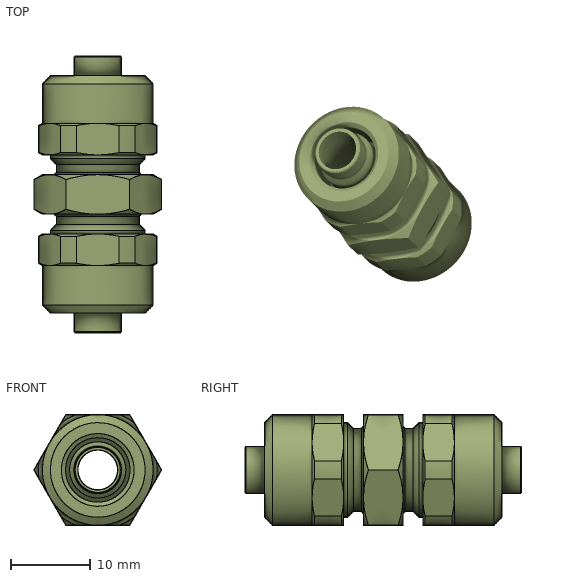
import cadquery as cq
import math

length = 35.0
across_flats = 14.0
bore_diameter = 5.0

hex_width = 5.0
neck_diameter = 10.5
collar_diameter = 12.0
neck_flare = 0.28
collar_cone_start = 3.78
collar_cone_end = collar_cone_start + (collar_diameter - neck_diameter) / 2

nut_inner_end = 5.0
nut_hex_end = 9.0
nut_outer_end = 15.0
nut_corner_diameter = 15.0
nut_chamfer = 1.0
hex_bevel_angle = 30.0
mouth_diameter = 8.15
mouth_chamfer = 0.52

spigot_diameter = 6.0
tip_chamfer = 0.15
barb_diameter = 7.1
barb_cone_start = 15.0
barb_cone_length = 0.98
annulus_floor = nut_hex_end


def turned(points):
    """Revolve (radius, y) points about the Y axis."""
    return cq.Workplane("XY").polyline(points).close().revolve(360, (0, 0, 0), (0, 1, 0))


def bevelled_hex(y_start, y_end, corner_diameter):
    """Hexagon along Y with conical bevels on both ends and corners turned to a diameter."""
    point_diameter = across_flats / math.cos(math.radians(30))
    middle = (y_start + y_end) / 2
    half_width = (y_end - y_start) / 2
    flat_radius = across_flats / 2
    corner_radius = corner_diameter / 2
    bevel = (corner_radius - flat_radius) * math.tan(math.radians(hex_bevel_angle))
    prism = (
        cq.Workplane("XZ", origin=(0, middle, 0))
        .polygon(6, point_diameter)
        .extrude(half_width, both=True)
    )
    envelope = turned([
        (0, y_start),
        (flat_radius, y_start),
        (corner_radius, y_start + bevel),
        (corner_radius, y_end - bevel),
        (flat_radius, y_end),
        (0, y_end),
    ])
    return prism.intersect(envelope)


def threaded_neck():
    """Neck beside the centre hexagon, flaring out to a collar that enters the nut."""
    neck_radius = neck_diameter / 2
    collar_radius = collar_diameter / 2
    return turned([
        (0, 0),
        (neck_radius + neck_flare, 0),
        (neck_radius + neck_flare, hex_width / 2),
        (neck_radius, hex_width / 2 + neck_flare),
        (neck_radius, collar_cone_start),
        (collar_radius, collar_cone_end),
        (collar_radius, nut_inner_end),
        (0, nut_inner_end),
    ])


def union_nut():
    """Nut with a hexagon, a round chamfered sleeve and an open mouth."""
    sleeve_radius = across_flats / 2
    mouth_radius = mouth_diameter / 2
    sleeve = turned([
        (0, nut_hex_end),
        (sleeve_radius, nut_hex_end),
        (sleeve_radius, nut_outer_end - nut_chamfer),
        (sleeve_radius - nut_chamfer, nut_outer_end),
        (0, nut_outer_end),
    ])
    mouth = turned([
        (0, annulus_floor),
        (mouth_radius, annulus_floor),
        (mouth_radius, nut_outer_end - mouth_chamfer),
        (mouth_radius + mouth_chamfer, nut_outer_end),
        (0, nut_outer_end),
    ])
    return bevelled_hex(nut_inner_end, nut_hex_end, nut_corner_diameter).union(sleeve).cut(mouth)


def hose_spigot():
    """Tube with a conical shoulder inside the nut and a chamfered tip."""
    tube_radius = spigot_diameter / 2
    barb_radius = barb_diameter / 2
    return turned([
        (0, 0),
        (barb_radius, 0),
        (barb_radius, barb_cone_start - barb_cone_length),
        (tube_radius, barb_cone_start),
        (tube_radius, length / 2 - tip_chamfer),
        (tube_radius - tip_chamfer, length / 2),
        (0, length / 2),
    ])


half_fitting = threaded_neck().union(union_nut()).union(hose_spigot())
centre_hex = bevelled_hex(-hex_width / 2, hex_width / 2, across_flats / math.cos(math.radians(30)))
bore = cq.Workplane("XZ").circle(bore_diameter / 2).extrude(length / 2, both=True)

result = centre_hex.union(half_fitting).union(half_fitting.mirror("XZ")).cut(bore)